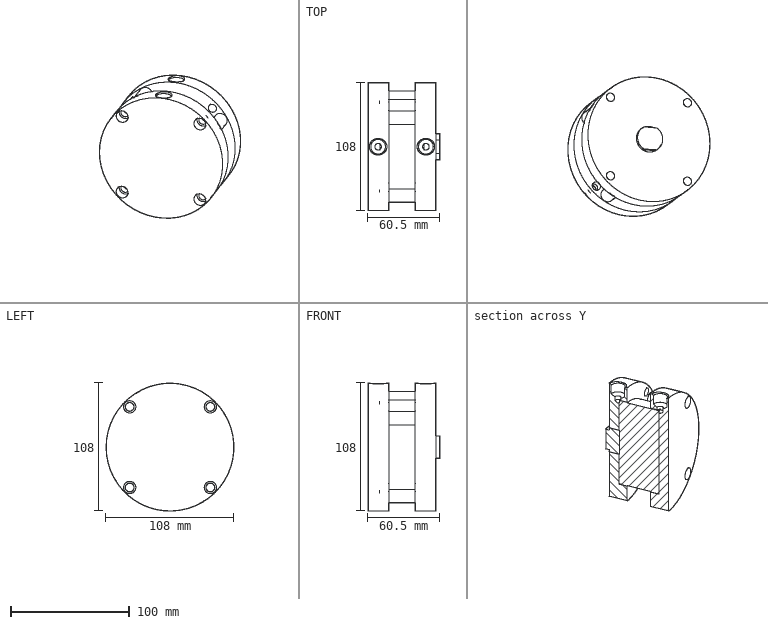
import cadquery as cq
import math


head_diameter = 107.95
head_thickness = 17.58
head_gap = 22.0
overall_length = 60.45
seat_depth = 7.7

barrel_diameter = 79.4

rod_count = 4
rod_diameter = 11.5
rod_circle_diameter = 95.8
rod_start_angle = 30.5

mount_angle = 45.0
mount_circle_diameter = 96.2
mount_hole_diameter = 7.14
counterbore_diameter = 10.32
counterbore_depth = 9.5

port_inset = 8.43
port_diameter = 12.4
port_depth = 9.5
port_mouth_diameter = 14.9
passage_diameter = 5.5
passage_depth_below_barrel_top = 0.8
drill_tip_angle = 118.0

piston_rod_diameter = 22.225
wrench_flat_width = 19.05

cap_inner_x = head_thickness
rod_head_inner_x = cap_inner_x + head_gap
heads_end_x = rod_head_inner_x + head_thickness
barrel_start_x = cap_inner_x - seat_depth
barrel_end_x = rod_head_inner_x + seat_depth

head_radius = head_diameter / 2


def disc(diameter, start_x, end_x, y=0.0, z=0.0):
    """Cylinder along X between two X positions."""
    return (
        cq.Workplane("YZ", origin=(start_x, y, z))
        .circle(diameter / 2)
        .extrude(end_x - start_x)
    )


def circle_positions(circle_diameter, start_angle):
    """Evenly spaced (y, z) places on a bolt circle."""
    radius = circle_diameter / 2
    angles = [math.radians(start_angle + i * 360 / rod_count) for i in range(rod_count)]
    return [(radius * math.sin(angle), radius * math.cos(angle)) for angle in angles]


def port_cutter(x):
    """Port with a 45-degree mouth, a drilled floor and a narrow passage below it."""
    port_radius = port_diameter / 2
    mouth_radius = port_mouth_diameter / 2
    passage_radius = passage_diameter / 2
    tip_slope = 1 / math.tan(math.radians(drill_tip_angle / 2))

    mouth_bottom_z = head_radius - (mouth_radius - port_radius)
    port_floor_z = head_radius - port_depth
    passage_top_z = port_floor_z - (port_radius - passage_radius) * tip_slope
    passage_floor_z = barrel_diameter / 2 - passage_depth_below_barrel_top
    tip_z = passage_floor_z - passage_radius * tip_slope

    profile = [
        (0, head_radius),
        (mouth_radius, head_radius),
        (port_radius, mouth_bottom_z),
        (port_radius, port_floor_z),
        (passage_radius, passage_top_z),
        (passage_radius, passage_floor_z),
        (0, tip_z),
    ]
    cutter = cq.Workplane("XZ").polyline(profile).close().revolve(360, (0, 0), (0, 1))
    return cutter.translate((x, 0, 0))


def make_head(start_x, port_x):
    """Round head with its barrel seat, port and four mounting holes."""
    end_x = start_x + head_thickness
    head = disc(head_diameter, start_x, end_x)
    head = head.cut(port_cutter(port_x))
    head = head.cut(disc(barrel_diameter, barrel_start_x, barrel_end_x))
    for y, z in circle_positions(mount_circle_diameter, mount_angle):
        head = head.cut(disc(mount_hole_diameter, start_x, end_x, y, z))
    return head


def make_cap_head():
    """Blind head whose mounting holes are counterbored from the outer face."""
    head = make_head(0, port_inset)
    for y, z in circle_positions(mount_circle_diameter, mount_angle):
        head = head.cut(disc(counterbore_diameter, 0, counterbore_depth, y, z))
    return head


def make_rod_head():
    """Head with a bore for the piston rod."""
    head = make_head(rod_head_inner_x, heads_end_x - port_inset)
    return head.cut(disc(piston_rod_diameter, barrel_end_x, heads_end_x))


def make_barrel():
    """Barrel seated in the recesses of both heads."""
    return disc(barrel_diameter, barrel_start_x, barrel_end_x)


def make_piston_rod():
    """Rod through the head, with two wrench flats on the end that stands out."""
    shank = disc(piston_rod_diameter, barrel_end_x, heads_end_x)
    flats = (
        cq.Workplane("YZ", origin=(heads_end_x, 0, 0))
        .rect(piston_rod_diameter, wrench_flat_width)
        .extrude(overall_length - heads_end_x)
    )
    wrench_end = disc(piston_rod_diameter, heads_end_x, overall_length).intersect(flats)
    return shank.union(wrench_end)


def make_tie_rod(y, z):
    """Tie rod spanning the gap between the heads."""
    return disc(rod_diameter, cap_inner_x, rod_head_inner_x, y, z)


cap_head = make_cap_head()
rod_head = make_rod_head()
barrel = make_barrel()
piston_rod = make_piston_rod()
tie_rods = [make_tie_rod(y, z) for y, z in circle_positions(rod_circle_diameter, rod_start_angle)]

result = cq.Compound.makeCompound(
    [cap_head.val(), rod_head.val(), barrel.val(), piston_rod.val()]
    + [tie_rod.val() for tie_rod in tie_rods]
)